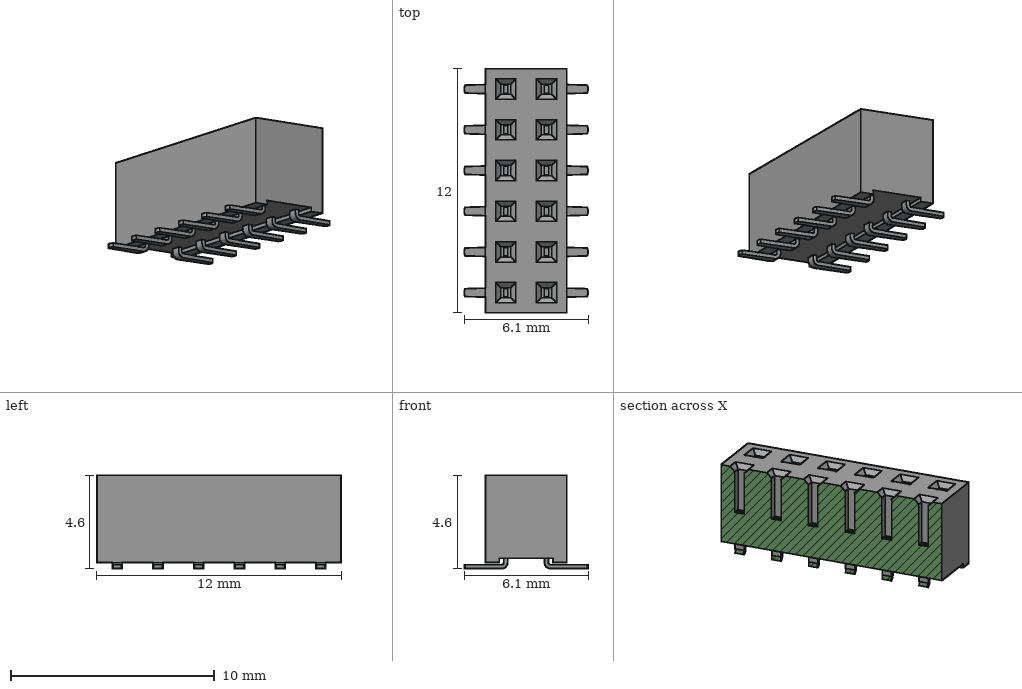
import cadquery as cq
import math


rows = 2
columns = 6
body_length = 12.0
pitch = body_length / columns

body_width = rows * pitch
overall_height = 4.6
standoff = 0.3
rail_height = 0.2
channel_width = 2.64
channel_roof = standoff + rail_height

socket_mouth = pitch / 2
socket_bore = pitch / 4
socket_depth = 2.4
funnel_depth = (socket_mouth - socket_bore) / 2

overall_width = 6.1
leg_thickness = pitch / 10
leg_width = socket_bore
bend_inner_radius = leg_thickness / 2
bend_outer_radius = bend_inner_radius + leg_thickness
leg_embed = 0.12
tip_bulge = 0.05
side_taper = 0.05

groove_width = leg_thickness
groove_depth = 0.05


def make_housing():
    """Plain block with a channel along its underside."""
    block_height = overall_height - standoff
    block = (
        cq.Workplane("XY", origin=(0, 0, standoff))
        .box(body_width, body_length, block_height, centered=(True, True, False))
    )
    channel = (
        cq.Workplane("XY", origin=(0, 0, standoff))
        .box(channel_width, body_length, rail_height, centered=(True, True, False))
    )
    return block.cut(channel)


def make_socket():
    """Cutter for one socket: funnel mouth, square bore and floor groove, top face at Z = 0."""
    funnel = (
        cq.Workplane("XY")
        .rect(socket_mouth, socket_mouth)
        .workplane(offset=-funnel_depth)
        .rect(socket_bore, socket_bore)
        .loft(ruled=True)
    )
    bore = cq.Workplane("XY").rect(socket_bore, socket_bore).extrude(-socket_depth)
    groove_half_length = socket_bore / 2
    groove_floor_half = groove_half_length - groove_depth
    groove_floor = -socket_depth - groove_depth
    groove = (
        cq.Workplane("YZ")
        .moveTo(-groove_half_length, -socket_depth)
        .lineTo(-groove_floor_half, groove_floor)
        .lineTo(groove_floor_half, groove_floor)
        .lineTo(groove_half_length, -socket_depth)
        .close()
        .extrude(groove_width / 2, both=True)
    )
    return funnel.union(bore).union(groove)


def make_leg():
    """One leg on the +X side: a vertical stem, a bend and a tapered foot with a rounded end."""
    stem_inner = pitch / 2 - leg_thickness / 2
    stem_outer = stem_inner + leg_thickness
    bend_end = stem_outer + bend_inner_radius
    bend_center_z = bend_outer_radius
    leg_top = channel_roof + leg_embed
    tip = overall_width / 2
    diagonal = math.sqrt(0.5)

    side_profile = (
        cq.Workplane("XZ")
        .moveTo(stem_inner, leg_top)
        .lineTo(stem_inner, bend_center_z)
        .threePointArc(
            (bend_end - bend_outer_radius * diagonal, bend_center_z - bend_outer_radius * diagonal),
            (bend_end, 0),
        )
        .lineTo(tip, 0)
        .lineTo(tip, leg_thickness)
        .lineTo(bend_end, leg_thickness)
        .threePointArc(
            (bend_end - bend_inner_radius * diagonal, bend_center_z - bend_inner_radius * diagonal),
            (stem_outer, bend_center_z),
        )
        .lineTo(stem_outer, leg_top)
        .close()
        .extrude(leg_width / 2, both=True)
    )

    half_width = leg_width / 2
    tip_half_width = half_width - side_taper
    foot_corner = tip - tip_bulge
    plan_outline = (
        cq.Workplane("XY")
        .moveTo(stem_inner, -half_width)
        .lineTo(bend_end, -half_width)
        .lineTo(foot_corner, -tip_half_width)
        .threePointArc((tip, 0), (foot_corner, tip_half_width))
        .lineTo(bend_end, half_width)
        .lineTo(stem_inner, half_width)
        .close()
        .extrude(leg_top)
    )
    return side_profile.intersect(plan_outline)


socket = make_socket()
right_leg = make_leg()
left_leg = right_leg.mirror("YZ")

result = make_housing()
for column in range(columns):
    y = (column - (columns - 1) / 2) * pitch
    for row in range(rows):
        x = (row - (rows - 1) / 2) * pitch
        result = result.cut(socket.translate((x, y, overall_height)))
    for leg in (left_leg, right_leg):
        result = result.union(leg.translate((0, y, 0)))